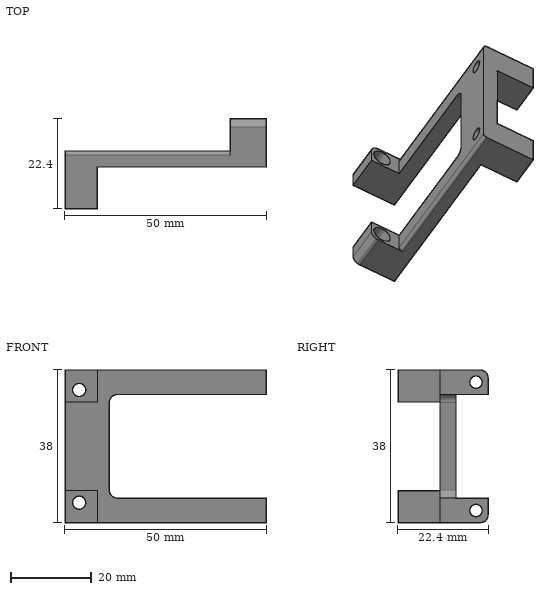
import cadquery as cq

length = 50.0
depth = 22.4
height = 38.0

plate_thickness = 4.0
spine_width = 11.0
arm_height = 6.15
inner_corner_radius = 2.0
plate_edge_radius = 1.0

front_lug_size = 8.0
front_hole_diameter = 3.2
front_hole_from_side = 3.5
front_hole_from_end = 5.0

rear_lug_length = 9.0
rear_lug_height = 6.15
rear_lug_projection = 8.0
rear_lug_radius = 2.0
rear_hole_diameter = 3.0
rear_bore_diameter = 4.7
rear_bore_depth = 6.0
rear_hole_inset = 3.05

plate_back = depth - rear_lug_projection
plate_front = plate_back - plate_thickness
rear_lug_start = length - rear_lug_length


def box(corner, size):
    """Box given by its lowest corner and its size."""
    return cq.Workplane("XY").box(*size, centered=False).translate(corner)


def cylinder_x(start, y, z, diameter, cylinder_length):
    """Cylinder along X."""
    return (
        cq.Workplane("YZ", origin=(start, y, z))
        .circle(diameter / 2)
        .extrude(cylinder_length)
    )


def make_plate():
    """Plate with rounded long back edges and an opening towards +X."""
    plate = box((0, plate_front, 0), (length, plate_thickness, height))
    plate = plate.edges("|X and >Y").fillet(plate_edge_radius)
    opening = box(
        (spine_width, plate_front, arm_height),
        (length - spine_width, plate_thickness, height - 2 * arm_height),
    )
    opening = opening.edges("|Y and <X").fillet(inner_corner_radius)
    return plate.cut(opening)


def make_front_lug():
    """Square lug at the lower end of the spine."""
    return box((0, 0, 0), (front_lug_size, plate_front, front_lug_size))


def make_rear_lug():
    """Lug at the tip of the lower arm, rounded on its outer back edge."""
    lug = box(
        (rear_lug_start, plate_front, 0),
        (rear_lug_length, depth - plate_front, rear_lug_height),
    )
    return lug.edges("|X and >Y and <Z").fillet(rear_lug_radius)


def make_lower_holes():
    """Through hole of the front lug and counterbored hole of the rear lug."""
    front_hole = (
        cq.Workplane("XZ", origin=(front_hole_from_side, 0, front_hole_from_end))
        .circle(front_hole_diameter / 2)
        .extrude(-plate_back)
    )
    rear_y = depth - rear_hole_inset
    rear_hole = cylinder_x(
        rear_lug_start, rear_y, rear_hole_inset, rear_hole_diameter, rear_lug_length
    )
    rear_bore = cylinder_x(
        rear_lug_start, rear_y, rear_hole_inset, rear_bore_diameter, rear_bore_depth
    )
    return front_hole.union(rear_hole).union(rear_bore)


def with_mirror(body):
    """Body together with its mirror image about mid height."""
    return body.union(body.mirror("XY", (0, 0, height / 2)))


lugs = with_mirror(make_front_lug().union(make_rear_lug()))
holes = with_mirror(make_lower_holes())
result = make_plate().union(lugs).cut(holes)